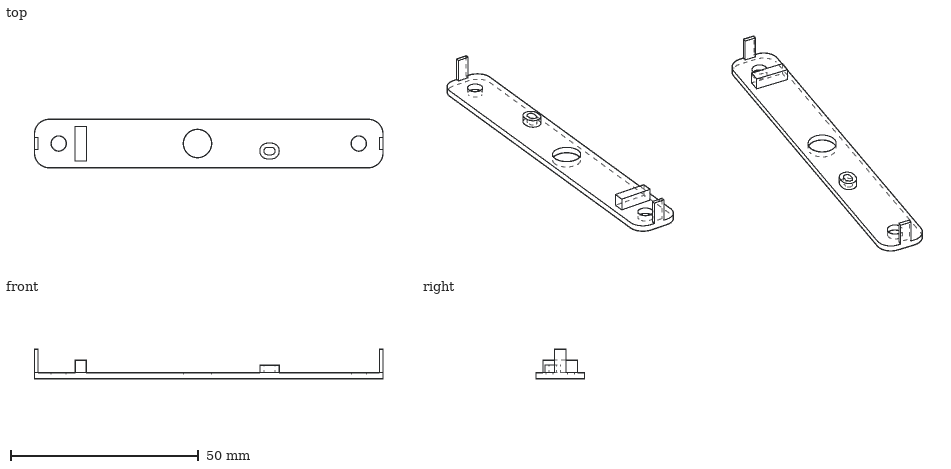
import cadquery as cq

plate_length = 93.0
plate_width = 13.0
plate_thickness = 1.7
corner_radius = 4.0

screw_hole_diameter = 4.0
screw_hole_spacing = 80.0
large_hole_diameter = 7.5
large_hole_x = -3.0

overall_height = 7.98
tab_thickness = 1.0
tab_width = 3.1

block_length_x = 3.0
block_length_y = 9.2
block_height = 3.3
block_x = -34.1

boss_x = 16.2
boss_y = -2.0
boss_height = 2.0
boss_straight = 1.0
boss_outer_width = 4.2
boss_inner_width = 2.0


def make_plate():
    """Flat plate with rounded corners."""
    plate = cq.Workplane("XY").rect(plate_length, plate_width).extrude(plate_thickness)
    return plate.edges("|Z").fillet(corner_radius)


def cut_holes(body):
    """Cut the two screw holes and the large hole through the plate."""
    screw_hole_x = screw_hole_spacing / 2
    holes = (
        (-screw_hole_x, screw_hole_diameter),
        (screw_hole_x, screw_hole_diameter),
        (large_hole_x, large_hole_diameter),
    )
    for x, diameter in holes:
        hole = cq.Workplane("XY").center(x, 0).circle(diameter / 2).extrude(plate_thickness)
        body = body.cut(hole)
    return body


def make_upright(x, length_x, length_y, height):
    """Rectangular upright on the plate's top face, centred across its width."""
    top_face = cq.Workplane("XY").workplane(offset=plate_thickness)
    return top_face.center(x, 0).rect(length_x, length_y).extrude(height)


def make_oval(width):
    """Solid oval of the given width standing on the plate's top face."""
    top_face = cq.Workplane("XY").workplane(offset=plate_thickness)
    return top_face.center(boss_x, boss_y).slot2D(boss_straight + width, width).extrude(boss_height)


def make_boss():
    """Oval ring, open down to the plate's top face."""
    return make_oval(boss_outer_width).cut(make_oval(boss_inner_width))


result = cut_holes(make_plate())

tab_x = (plate_length - tab_thickness) / 2
tab_height = overall_height - plate_thickness
for side in (-1, 1):
    result = result.union(make_upright(side * tab_x, tab_thickness, tab_width, tab_height))

result = result.union(make_upright(block_x, block_length_x, block_length_y, block_height))
result = result.union(make_boss())